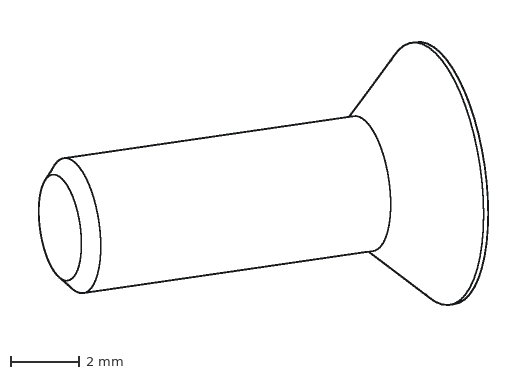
import cadquery as cq

length = 12.0
shank_diameter = 4.0
head_diameter = 7.77
head_height = 2.3
rim_height = 0.15
tip_chamfer = 0.43

shank_radius = shank_diameter / 2
head_radius = head_diameter / 2

profile = (
    cq.Workplane("XY")
    .moveTo(0, 0)
    .lineTo(head_radius, 0)
    .lineTo(head_radius, -rim_height)
    .lineTo(shank_radius, -head_height)
    .lineTo(shank_radius, -length + tip_chamfer)
    .lineTo(shank_radius - tip_chamfer, -length)
    .lineTo(0, -length)
    .close()
)

result = profile.revolve(360, (0, 0, 0), (0, 1, 0))